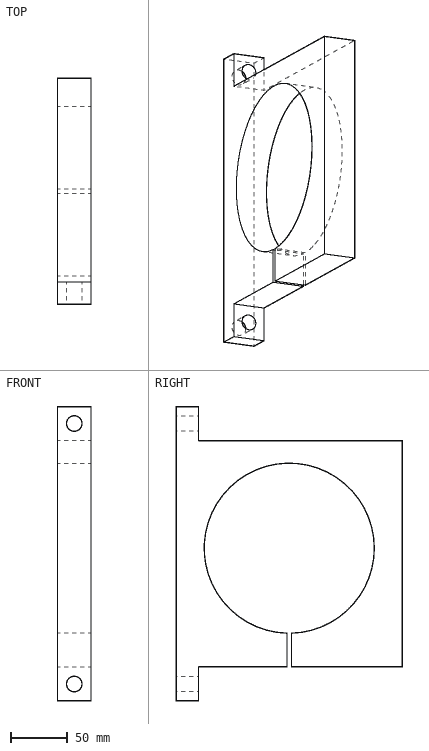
import cadquery as cq

thickness = 30.0
depth = 200.0
flange_height = 260.0

flange_depth = 20.0
body_height = 200.0

bore_diameter = 150.0
bore_rise = 5.0
slot_width = 4.0

hole_diameter = 13.5
hole_spacing = 230.0

center_y = depth / 2


def mounting_flange():
    return cq.Workplane("XY").box(
        thickness, flange_depth, flange_height, centered=(True, False, True)
    )


def clamp_body():
    return cq.Workplane("XY").box(
        thickness, depth, body_height, centered=(True, False, True)
    )


def clamping_bore():
    return (
        cq.Workplane("YZ", origin=(-thickness / 2, 0, 0))
        .center(center_y, bore_rise)
        .circle(bore_diameter / 2)
        .extrude(thickness)
    )


def clamping_slot():
    """Gap from the bore centre down through the bottom of the body."""
    slot_height = bore_rise + body_height / 2
    return (
        cq.Workplane("XY", origin=(0, center_y, bore_rise - slot_height))
        .rect(thickness, slot_width)
        .extrude(slot_height)
    )


def mounting_holes():
    """Through holes along Y, one in each end of the flange."""
    return (
        cq.Workplane("XZ")
        .pushPoints([(0, side * hole_spacing / 2) for side in (-1, 1)])
        .circle(hole_diameter / 2)
        .extrude(-flange_depth)
    )


result = (
    mounting_flange()
    .union(clamp_body())
    .cut(clamping_bore())
    .cut(clamping_slot())
    .cut(mounting_holes())
)